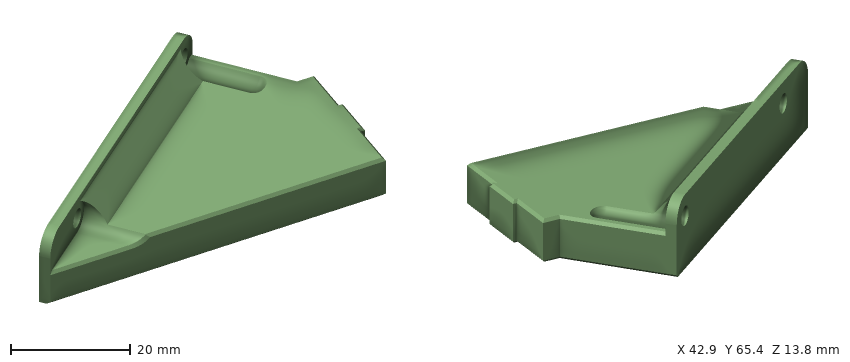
import cadquery as cq
import math

overall_x = 42.9
overall_y = 65.4
overall_z = 13.8

flange_thickness = 2.0
flange_length = 62.9
corner_radius = 4.0

block_height = 8.05
slope_angle = 50.0
edge_chamfer = 0.5

tab_width = 8.0
tab_height = 0.7

hole_diameter = 3.5
hole_z = overall_z - corner_radius
lower_hole_y = 11.9
upper_hole_y = flange_length - corner_radius
channel_radius = 3.0
channel_end_x = 16.9
channel_end_fillet = 2.0
channel_floor = hole_z - channel_radius

rib_size = 4.5

along_slope = (math.cos(math.radians(slope_angle)), math.sin(math.radians(slope_angle)))
along_end = (-along_slope[1], along_slope[0])

slope_foot = (flange_thickness, 0)
end_low = (overall_x, (overall_x - flange_thickness) * along_slope[1] / along_slope[0])
end_length = (overall_y - end_low[1]) / along_end[1]


def end_point(distance, height=0.0):
    """Point at a distance along the slanted end, raised outward by a height."""
    return (
        end_low[0] + distance * along_end[0] + height * along_slope[0],
        end_low[1] + distance * along_end[1] + height * along_slope[1],
    )


def make_block():
    tab_start = (end_length - tab_width) / 2
    tab_stop = tab_start + tab_width
    end_high = end_point(end_length)
    shoulder_drop = (end_high[1] - flange_length) / along_slope[1]
    shoulder = (end_high[0] - shoulder_drop * along_slope[0], flange_length)
    outline = [
        (0, 0),
        slope_foot,
        end_low,
        end_point(tab_start),
        end_point(tab_start, tab_height),
        end_point(tab_stop, tab_height),
        end_point(tab_stop),
        end_high,
        shoulder,
        (0, flange_length),
    ]
    return cq.Workplane("XY").polyline(outline).close().extrude(block_height)


def make_rib():
    """Triangular rib that runs from one screw axis to the other."""
    return (
        cq.Workplane("XZ", origin=(0, lower_hole_y, 0))
        .moveTo(flange_thickness, block_height)
        .lineTo(flange_thickness + rib_size, block_height)
        .lineTo(flange_thickness, block_height + rib_size)
        .close()
        .extrude(lower_hole_y - upper_hole_y)
    )


def make_channel(y, length):
    return (
        cq.Workplane("YZ", origin=(flange_thickness, y, hole_z))
        .circle(channel_radius)
        .extrude(length)
    )


def make_upper_channel():
    """Blind channel with a rounded end."""
    channel = make_channel(upper_hole_y, channel_end_x - flange_thickness)
    return channel.faces(">X").edges().fillet(channel_end_fillet)


def make_lower_channel():
    """Channel that runs out through the slope, with the corner beyond it cut down to its floor."""
    corner = cq.Workplane("XY").box(overall_x, lower_hole_y, overall_z, centered=False)
    return make_channel(lower_hole_y, overall_x).union(
        corner.translate((flange_thickness, 0, channel_floor))
    )


def make_flange():
    """Upper part of the flange; it overlaps the block, whose first stretch forms the rest of it."""
    base_z = channel_floor / 2
    plate = (
        cq.Workplane("XY", origin=(0, 0, base_z))
        .box(flange_thickness, flange_length, overall_z - base_z, centered=False)
    )
    return plate.edges("|X and >Z").fillet(corner_radius)


def chamfer_outline(block):
    """Bevel the top and bottom edges all along the free sides of the block."""
    free_sides = (
        block.faces("#Z")
        .filter(lambda face: face.Center().x > flange_thickness + edge_chamfer)
    )
    return free_sides.edges("not |Z").chamfer(edge_chamfer)


upper_channel = make_upper_channel()
lower_channel = make_lower_channel()
block = chamfer_outline(make_block().cut(upper_channel).cut(lower_channel))
rib = make_rib().cut(upper_channel).cut(lower_channel)
screw_holes = (
    cq.Workplane("YZ")
    .pushPoints([(lower_hole_y, hole_z), (upper_hole_y, hole_z)])
    .circle(hole_diameter / 2)
    .extrude(flange_thickness)
)
result = block.union(rib).union(make_flange()).cut(screw_holes)